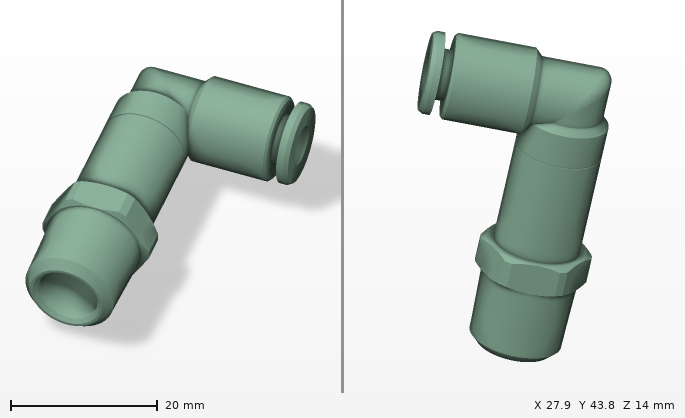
import cadquery as cq
import math


elbow_radius = 5.0
elbow_corner_fillet = 1.5
body_radius = 6.0
shoulder_height = body_radius - elbow_radius

stem_shoulder_start = 2.0
groove_start = 7.5
groove_width = 0.25
groove_depth = 0.1
stem_end = 37.8
thread_length = 11.0
hex_thickness = 4.5

hex_across_flats = 14.0
hex_corner_radius = 7.75
hex_face_radius = 6.95
hex_chamfer_height = 0.46

thread_root_radius = 6.7
thread_taper = 1 / 32
thread_chamfer_length = 1.2
end_face_radius = 5.22

port_shoulder_start = 4.85
port_body_end = 17.0
port_body_chamfer = 0.35
collar_neck_radius = 3.55
collar_flare_radius = 3.75
collar_flare_length = 0.35
collar_start = 18.5
collar_radius = 5.75
collar_end = 20.1
collar_chamfer_length = 0.6
collar_face_radius = 5.4

passage_radius = 2.75
stem_bore_radius = 4.3
stem_mouth_radius = 4.83
stem_mouth_chamfer = stem_mouth_radius - stem_bore_radius
stem_bore_end = 7.5
stem_bore_cone_angle = 118.0

hex_end = stem_end - thread_length
hex_start = hex_end - hex_thickness


def turned_on_stem(profile):
    """Turn (radius, distance) points about the stem centreline."""
    outline = [(radius, -distance) for radius, distance in profile]
    return cq.Workplane("XY").polyline(outline).close().revolve(360, (0, 0, 0), (0, 1, 0))


def turned_on_port(profile):
    """Turn (radius, distance) points about the port centreline."""
    outline = [(distance, radius) for radius, distance in profile]
    return cq.Workplane("XY").polyline(outline).close().revolve(360, (0, 0, 0), (1, 0, 0))


def stem_cylinder(radius, start, end):
    """Cylinder on the stem centreline between two distances from the elbow centre."""
    return cq.Workplane("XZ", origin=(0, -start, 0)).circle(radius).extrude(end - start)


def port_cylinder(radius, start, end):
    """Cylinder on the port centreline between two distances from the elbow centre."""
    return cq.Workplane("YZ", origin=(start, 0, 0)).circle(radius).extrude(end - start)


def mitred_corner(radius):
    """Common volume of the two crossing pipes, whose outer edges form the mitre."""
    across_stem = stem_cylinder(radius, -2 * radius, 2 * radius)
    across_port = port_cylinder(radius, -2 * radius, 2 * radius)
    return across_port.intersect(across_stem)


def elbow():
    outer_quadrant = cq.selectors.BoxSelector(
        (-elbow_radius, 0, -elbow_radius), (0, elbow_radius, elbow_radius)
    )
    corner = mitred_corner(elbow_radius).edges(outer_quadrant).fillet(elbow_corner_fillet)
    stem_arm = stem_cylinder(elbow_radius, 0, groove_start)
    port_arm = port_cylinder(elbow_radius, 0, port_body_end - port_body_chamfer)
    return corner.union(stem_arm).union(port_arm)


def flow_passage():
    stem_leg = stem_cylinder(passage_radius, 0, stem_end)
    port_leg = port_cylinder(passage_radius, 0, collar_end)
    return mitred_corner(passage_radius).union(stem_leg).union(port_leg)


def stem_body():
    groove_end = groove_start + groove_width
    groove_radius = body_radius - groove_depth
    return turned_on_stem([
        (0, stem_shoulder_start),
        (elbow_radius, stem_shoulder_start),
        (body_radius, stem_shoulder_start + shoulder_height),
        (body_radius, groove_start),
        (groove_radius, groove_start),
        (groove_radius, groove_end),
        (body_radius, groove_end),
        (body_radius, hex_end),
        (0, hex_end),
    ])


def hexagon():
    hex_across_corners = hex_across_flats / math.cos(math.radians(30))
    prism = (
        cq.Workplane("XZ", origin=(0, -hex_start, 0))
        .polygon(6, hex_across_corners)
        .extrude(hex_thickness)
    )
    turned_limit = turned_on_stem([
        (0, hex_start),
        (hex_face_radius, hex_start),
        (hex_corner_radius, hex_start + hex_chamfer_height),
        (hex_corner_radius, hex_end - hex_chamfer_height),
        (hex_face_radius, hex_end),
        (0, hex_end),
    ])
    return prism.intersect(turned_limit)


def thread():
    taper_length = thread_length - thread_chamfer_length
    return turned_on_stem([
        (0, hex_end),
        (thread_root_radius, hex_end),
        (thread_root_radius - thread_taper * taper_length, hex_end + taper_length),
        (end_face_radius, stem_end),
        (0, stem_end),
    ])


def port_body():
    return turned_on_port([
        (0, port_shoulder_start),
        (elbow_radius, port_shoulder_start),
        (body_radius, port_shoulder_start + shoulder_height),
        (body_radius, port_body_end - port_body_chamfer),
        (body_radius - port_body_chamfer, port_body_end),
        (0, port_body_end),
    ])


def release_collar():
    return turned_on_port([
        (0, port_body_end - port_body_chamfer),
        (collar_neck_radius, port_body_end - port_body_chamfer),
        (collar_neck_radius, collar_start - collar_flare_length),
        (collar_flare_radius, collar_start),
        (collar_radius, collar_start),
        (collar_radius, collar_end - collar_chamfer_length),
        (collar_face_radius, collar_end),
        (0, collar_end),
    ])


def stem_bore():
    """Chamfered mouth, straight bore and a cone down to the passage."""
    cone_half_angle = math.radians(stem_bore_cone_angle / 2)
    cone_length = (stem_bore_radius - passage_radius) / math.tan(cone_half_angle)
    return turned_on_stem([
        (0, stem_bore_end),
        (passage_radius, stem_bore_end),
        (stem_bore_radius, stem_bore_end + cone_length),
        (stem_bore_radius, stem_end - stem_mouth_chamfer),
        (stem_mouth_radius, stem_end),
        (0, stem_end),
    ])


solid_body = elbow()
for feature in (stem_body(), hexagon(), thread(), port_body(), release_collar()):
    solid_body = solid_body.union(feature)

result = solid_body.cut(flow_passage()).cut(stem_bore())